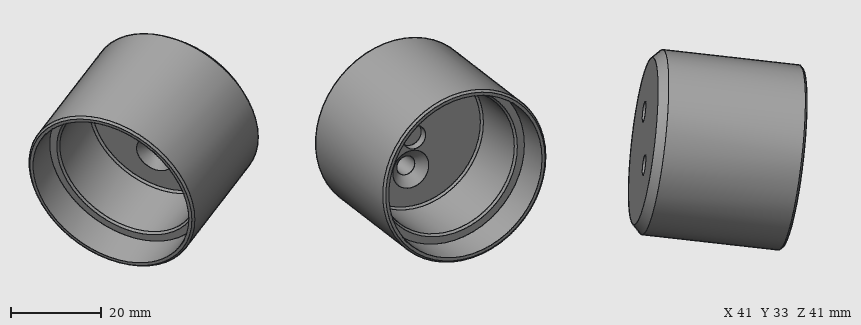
import cadquery as cq

outer_diameter = 41
length = 33.0
rear_chamfer = 2.0
small_chamfer = 0.5

mouth_diameter = 38.5
mouth_depth = 8.0
bore_diameter = 34.0
floor_thickness = 10.0

screw_diameter = 4.5
countersink_diameter = 2 * screw_diameter
countersink_depth = (countersink_diameter - screw_diameter) / 2
screw_x = -1.0
screw_z = 7.5

recess_diameter = 5.5
recess_depth = 2.0

outer_radius = outer_diameter / 2
mouth_radius = mouth_diameter / 2
bore_radius = bore_diameter / 2
front_y = -length / 2
rear_y = length / 2
step_y = front_y + mouth_depth
floor_y = rear_y - floor_thickness


def cup():
    """Revolve the half section of the stepped cup about the Y axis."""
    section = [
        (0, rear_y),
        (outer_radius - rear_chamfer, rear_y),
        (outer_radius, rear_y - rear_chamfer),
        (outer_radius, front_y + small_chamfer),
        (outer_radius - small_chamfer, front_y),
        (mouth_radius, front_y),
        (mouth_radius, step_y),
        (bore_radius + small_chamfer, step_y),
        (bore_radius, step_y + small_chamfer),
        (bore_radius, floor_y - small_chamfer),
        (bore_radius - small_chamfer, floor_y),
        (0, floor_y),
    ]
    return cq.Workplane("XY").polyline(section).close().revolve(360, (0, 0), (0, 1))


def floor_cylinder(diameter, depth, x, z):
    """Cylinder cutting from the inner floor face toward +Y."""
    start = cq.Vector(x, floor_y, z)
    return cq.Solid.makeCylinder(diameter / 2, depth, start, cq.Vector(0, 1, 0))


def countersink(x, z):
    """Cone narrowing from the inner floor face to the screw hole."""
    start = cq.Vector(x, floor_y, z)
    return cq.Solid.makeCone(
        countersink_diameter / 2, screw_diameter / 2, countersink_depth, start, cq.Vector(0, 1, 0)
    )


result = cup()
for z in (-screw_z, screw_z):
    result = result.cut(floor_cylinder(screw_diameter, floor_thickness, screw_x, z))
    result = result.cut(countersink(screw_x, z))
result = result.cut(floor_cylinder(recess_diameter, recess_depth, 0, 0))